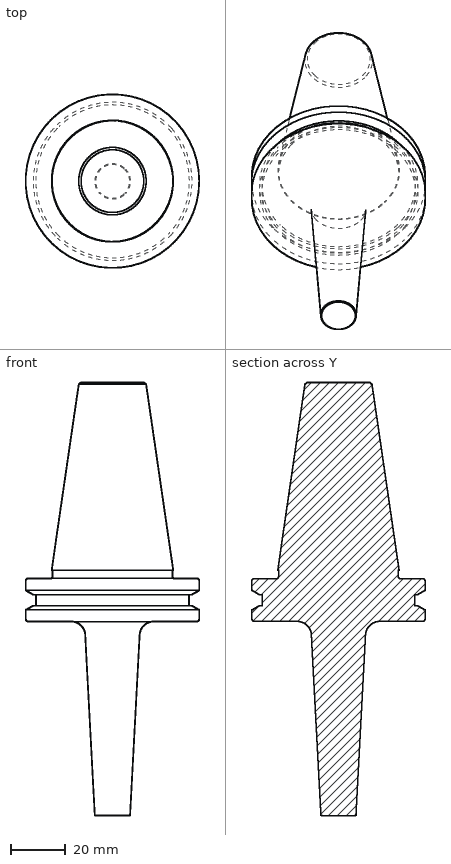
import cadquery as cq
import math

total_height = 158.4
gauge_height = 89.8
flange_top = 86.8
flange_bottom = 71.0

gauge_radius = 22.25
taper_slope = 7 / 48
shank_chamfer_width = 0.8
shank_chamfer_height = 0.6

collar_radius = 22.0
collar_foot_fillet = 0.5

flange_radius = 31.76
rim_fillet = 1.0
groove_floor_radius = 28.0
groove_wall_radius = 29.0
groove_upper_edge = 82.4
groove_lower_edge = 75.2
groove_wall_rise = (flange_radius - groove_wall_radius) * math.tan(math.radians(30))

nose_root_radius = 10.0
nose_tip_radius = 6.5
nose_tip_chamfer = 0.3
blend_radius = 5.0

taper_height = total_height - gauge_height
shank_top_radius = gauge_radius - taper_height * taper_slope
shank_edge_height = total_height - shank_chamfer_height
shank_edge_radius = shank_top_radius + shank_chamfer_height * taper_slope
nose_root_height = flange_bottom - blend_radius
blend_outer_radius = nose_root_radius + blend_radius
collar_foot_radius = collar_radius + collar_foot_fillet
rim_face_radius = flange_radius - rim_fillet


def quarter_arc_midpoint(corner_radius, corner_height, radial_step, axial_step):
    """Middle of the arc that rounds a square corner; the steps point from the corner to the arc center."""
    share = 1 - math.sqrt(0.5)
    return (corner_radius + share * radial_step, corner_height + share * axial_step)


blend_middle = quarter_arc_midpoint(nose_root_radius, flange_bottom, blend_radius, -blend_radius)
lower_rim_middle = quarter_arc_midpoint(flange_radius, flange_bottom, -rim_fillet, rim_fillet)
upper_rim_middle = quarter_arc_midpoint(flange_radius, flange_top, -rim_fillet, -rim_fillet)
collar_foot_middle = quarter_arc_midpoint(collar_radius, flange_top, collar_foot_fillet, collar_foot_fillet)

half_section = (
    cq.Workplane("XZ")
    .moveTo(0, 0)
    .lineTo(nose_tip_radius - nose_tip_chamfer, 0)
    .lineTo(nose_tip_radius, nose_tip_chamfer)
    .lineTo(nose_root_radius, nose_root_height)
    .threePointArc(blend_middle, (blend_outer_radius, flange_bottom))
    .lineTo(rim_face_radius, flange_bottom)
    .threePointArc(lower_rim_middle, (flange_radius, flange_bottom + rim_fillet))
    .lineTo(flange_radius, groove_lower_edge)
    .lineTo(groove_wall_radius, groove_lower_edge + groove_wall_rise)
    .lineTo(groove_floor_radius, groove_lower_edge + groove_wall_rise)
    .lineTo(groove_floor_radius, groove_upper_edge - groove_wall_rise)
    .lineTo(groove_wall_radius, groove_upper_edge - groove_wall_rise)
    .lineTo(flange_radius, groove_upper_edge)
    .lineTo(flange_radius, flange_top - rim_fillet)
    .threePointArc(upper_rim_middle, (rim_face_radius, flange_top))
    .lineTo(collar_foot_radius, flange_top)
    .threePointArc(collar_foot_middle, (collar_radius, flange_top + collar_foot_fillet))
    .lineTo(collar_radius, gauge_height)
    .lineTo(gauge_radius, gauge_height)
    .lineTo(shank_edge_radius, shank_edge_height)
    .lineTo(shank_top_radius - shank_chamfer_width, total_height)
    .lineTo(0, total_height)
    .close()
)

result = half_section.revolve(360, (0, 0, 0), (0, 1, 0))